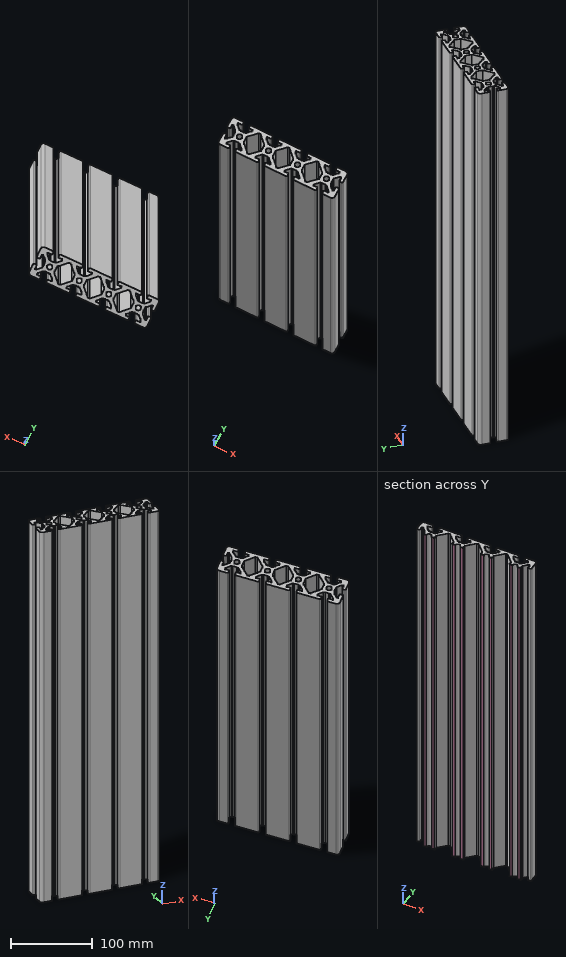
import cadquery as cq
import math

MODULE = 40.0
MODULE_COUNT = 4
LENGTH = 500.0
CORNER_RADIUS = 4.0

SLOT_OPENING = 8.3
SLOT_WIDTH = 20.0
SLOT_DEPTH = 12.0
SLOT_FLOOR_WIDTH = 9.0
LIP_THICKNESS = 4.7
LIP_OUTER_RADIUS = 1.4
LIP_INNER_RADIUS = 0.9
GROOVE_WIDTH = 5.0
GROOVE_DEPTH = 0.4

CORE_HOLE_DIAMETER = 6.7

CHAMBER_WIDTH = 24.2
CHAMBER_WALL = 5.0
CHAMBER_FLAT = 2.5

HALF_MODULE = MODULE / 2
WIDTH = MODULE * MODULE_COUNT
module_centers = [(i - (MODULE_COUNT - 1) / 2) * MODULE for i in range(MODULE_COUNT)]
chamber_centers = [x + HALF_MODULE for x in module_centers[:-1]]


def make_bar():
    """Solid rectangular bar with rounded long edges."""
    return cq.Workplane("XY").rect(WIDTH, MODULE).extrude(LENGTH).edges("|Z").fillet(CORNER_RADIUS)


def make_slot():
    """T-slot of a module at the origin, opening toward +Y.

    Both lips have rounded edges and the slot floor has a shallow groove.
    """
    throat_x = SLOT_OPENING / 2
    wall_x = SLOT_WIDTH / 2
    floor_x = SLOT_FLOOR_WIDTH / 2
    groove_x = GROOVE_WIDTH / 2
    floor_y = HALF_MODULE - SLOT_DEPTH
    groove_y = floor_y - GROOVE_DEPTH
    flank_top_y = floor_y + wall_x - floor_x
    lip_y = HALF_MODULE - LIP_THICKNESS
    arc_gap = 1 - math.sqrt(0.5)
    inner_gap = LIP_INNER_RADIUS * arc_gap
    outer_gap = LIP_OUTER_RADIUS * arc_gap

    half_slot = (
        cq.Workplane("XY")
        .moveTo(0, groove_y)
        .lineTo(groove_x, groove_y)
        .lineTo(groove_x, floor_y)
        .lineTo(floor_x, floor_y)
        .lineTo(wall_x, flank_top_y)
        .lineTo(wall_x, lip_y)
        .lineTo(throat_x + LIP_INNER_RADIUS, lip_y)
        .threePointArc((throat_x + inner_gap, lip_y + inner_gap), (throat_x, lip_y + LIP_INNER_RADIUS))
        .lineTo(throat_x, HALF_MODULE - LIP_OUTER_RADIUS)
        .threePointArc(
            (throat_x + outer_gap, HALF_MODULE - outer_gap),
            (throat_x + LIP_OUTER_RADIUS, HALF_MODULE),
        )
        .lineTo(0, HALF_MODULE)
        .close()
        .extrude(LENGTH)
    )
    return half_slot.union(half_slot.mirror("YZ")).clean()


def place_slot(slot, center_x, angle):
    """Turn the slot by angle about Z and move it to the module at center_x."""
    return slot.rotate((0, 0, 0), (0, 0, 1), angle).translate((center_x, 0, 0))


def make_chamber():
    """Octagonal hollow with 45 degree sides, centered on the origin."""
    half_width = CHAMBER_WIDTH / 2
    half_height = HALF_MODULE - CHAMBER_WALL
    flat_x = CHAMBER_FLAT / 2
    side_y = half_height - (half_width - flat_x)
    octagon = [
        (half_width, side_y),
        (flat_x, half_height),
        (-flat_x, half_height),
        (-half_width, side_y),
        (-half_width, -side_y),
        (-flat_x, -half_height),
        (flat_x, -half_height),
        (half_width, -side_y),
    ]
    return cq.Workplane("XY").polyline(octagon).close().extrude(LENGTH)


def make_core_holes():
    """Round through holes on the module centers."""
    points = [(x, 0) for x in module_centers]
    return cq.Workplane("XY").pushPoints(points).circle(CORE_HOLE_DIAMETER / 2).extrude(LENGTH)


result = make_bar().cut(make_core_holes())

chamber_tool = make_chamber()
for chamber_x in chamber_centers:
    result = result.cut(chamber_tool.translate((chamber_x, 0, 0)))

slot_tool = make_slot()
for module_x in module_centers:
    for face_angle in (0, 180):
        result = result.cut(place_slot(slot_tool, module_x, face_angle))

result = result.cut(place_slot(slot_tool, module_centers[0], 90))
result = result.cut(place_slot(slot_tool, module_centers[-1], -90))